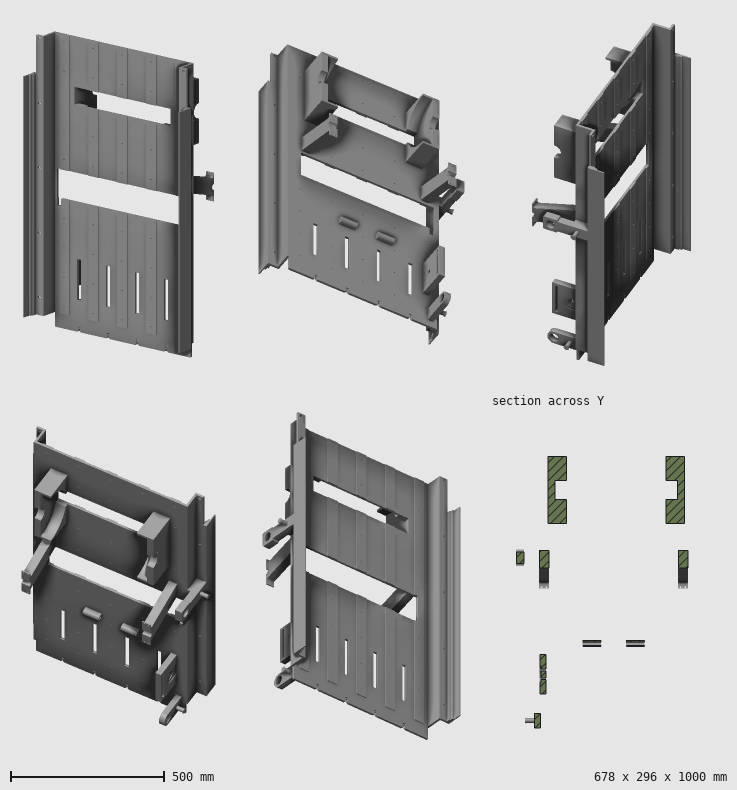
import cadquery as cq
import math

HEIGHT = 1000.0
SHEET = 8.0
PANEL_HALF_WIDTH = 280.0
WEB_OUTER = PANEL_HALF_WIDTH + SHEET
SIDE_BOTTOM = 50.0
FLANGE_BACK = -60.0
FLANGE_FRONT = FLANGE_BACK - SHEET
FLANGE_EDGE = 312.0
MARGIN = 10.0

RAIL_SPAN = 649.0
RAIL_OUTER = RAIL_SPAN / 2
RAIL_TOP = 869.0
RAIL_STEPS = ((14.0, -82.0), (10.0, -92.0), (4.0, -120.0))

STRIP_PITCH = 120.0
STRIP_COUNT = 5
STRIP_WIDTH = 40.0
STRIP_THICKNESS = 3.0
STRIP_FRONT = -SHEET - STRIP_THICKNESS
STRIP_HOLE_DIAMETER = 5.0
STRIP_HOLE_FIRST = 75.0
STRIP_HOLE_PITCH = 100.0
STRIP_HOLE_ROWS = (0, 1, 2, 3, 5, 6, 8, 9)

FLANGE_HOLE_X = 299.0
FLANGE_HOLE_FIRST = 110.0
FLANGE_HOLE_PITCH = 220.0
FLANGE_HOLE_COUNT = 5
FLANGE_HOLE_DIAMETER = 8.0
FLANGE_SLOT_LENGTH = 11.0

WINDOW_HALF_WIDTH = 199.0
WINDOW_BOTTOM = 770.0
WINDOW_TOP = 830.0
PASSAGE_LEFT = -272.0
PASSAGE_RIGHT = 236.0
PASSAGE_BOTTOM = 440.0
PASSAGE_TOP = 540.0
PASSAGE_NOTCH_WIDTH = 17.0
PASSAGE_NOTCH_LEFT = -270.0
PASSAGE_NOTCH_BOTTOM = 414.0
SLOT_WIDTH = 16.0
SLOT_BOTTOM = 107.0
SLOT_TOP = 247.0

EDGE_HOLE_WIDTH = 10.0
EDGE_HOLE_HEIGHT = 4.0
EDGE_HOLE_Z = 17.0
EDGE_SLIT_WIDTH = 5.0
EDGE_SLIT_TOP = 11.0
EDGE_MOUTH_WIDTH = 16.0
EDGE_MOUTH_TOP = 5.0

BLOCK_INNER = 161.0
BLOCK_OUTER = 223.0
BLOCK_DEPTH = 110.0
BLOCK_BOTTOM = 690.0
BLOCK_HEIGHT = 220.0
BLOCK_WALL = 24.0
BLOCK_HOLLOW_RADIUS = 102.0
BLOCK_NOTCH_RADIUS = 26.0
BLOCK_HOLE_DIAMETER = 5.0

MECHANISM_X = -8.0
ARM_OFFSET = 226.0
ARM_WIDTH = 31.0
ARM_ROOT_BOTTOM = 550.0
ARM_ROOT_TOP = 608.0
ARM_SLOPE = 16.5
ARM_END = 176.0
ARM_FILLET = 6.0
ARM_PLATE_THICKNESS = 4.0
ARM_PLATE_BOTTOM = 479.0
ARM_PLATE_TOP = 576.0
ARM_NOTCH_RADIUS = 10.0
ARM_HOLE_SPACING = 16.0
ARM_HOLE_DIAMETER = 5.0
ARM_HOLE_RISE = 5.0

BARREL_OFFSET = 71.0
BARREL_LENGTH = 60.0
BARREL_RADIUS = 11.0
BARREL_BORE = 10.0
BARREL_Z = 301.0

EYE_DIAMETER = 32.0
PIN_DIAMETER = 15.0
PIN_COLLAR_DIAMETER = 20.0
PIN_COLLAR_THICKNESS = 1.0
PIN_TIP = 1.0
PIN_REACH = 29.0
UPPER_LUG_Z = 580.0
UPPER_LUG_THICKNESS = 26.0
UPPER_LUG_NECK = 40.0
UPPER_LUG_HEAD = 52.0
UPPER_LUG_END = 100.0
UPPER_LUG_CORNER = 5.0
UPPER_EYE_Y = 74.0
UPPER_PIN_Y = -23.0
LOWER_LUG_X = -266.0
LOWER_LUG_THICKNESS = 21.0
LOWER_LUG_Z = 50.0
LOWER_LUG_RADIUS = 24.0
LOWER_EYE_Y = 89.0
LOWER_PIN_Y = 31.0

TAB_X = -248.0
TAB_THICKNESS = 21.0
TAB_DEPTH = 104.0
TAB_BOTTOM = 136.0
TAB_TOP = 266.0
TAB_SLOT_WIDTH = 10.0
TAB_SLOT_LENGTH = 110.0
TAB_SLOT_Y = 89.0
HOUSING_Y = 38.0
HOUSING_RADIUS = 26.0
HOUSING_DEPTH = 3.0
BEARING_STEPS = ((32.0, 6.0), (24.0, 9.0))
BEARING_BORE = 15.0
HOUSING_SCREW_DIAMETER = 5.0
HOUSING_SCREW_Y = 10.0
HOUSING_SCREW_SPACING = 29.0


def box(x0, x1, y0, y1, z0, z1):
    """Block between two corners."""
    return cq.Workplane("XY").box(x1 - x0, y1 - y0, z1 - z0, centered=False).translate((x0, y0, z0))


def rod_x(x0, x1, y, z, diameter):
    """Round bar along X."""
    return cq.Workplane("YZ", origin=(x0, y, z)).circle(diameter / 2).extrude(x1 - x0)


def rod_y(x, y0, y1, z, diameter):
    """Round bar along Y."""
    return cq.Workplane("XZ", origin=(x, y0, z)).circle(diameter / 2).extrude(y0 - y1)


def rounded_tongue(x0, x1, y, z, radius):
    """Plate normal to X, running from the panel back to a round end centred at (y, z)."""
    return box(x0, x1, 0, y, z - radius, z + radius).union(rod_x(x0, x1, y, z, 2 * radius))


def collared_pin(face_x, y, z):
    """Pin pointing to -X from a lug face, with a thin collar close to its end."""
    end_x = face_x - PIN_REACH
    collar_x = end_x + PIN_TIP
    shaft = rod_x(end_x, face_x, y, z, PIN_DIAMETER)
    return shaft.union(rod_x(collar_x, collar_x + PIN_COLLAR_THICKNESS, y, z, PIN_COLLAR_DIAMETER))


strip_centres = [(i - (STRIP_COUNT - 1) / 2) * STRIP_PITCH for i in range(STRIP_COUNT)]
slot_centres = [x + STRIP_PITCH / 2 for x in strip_centres[:-1]]


def rail():
    """Right-hand edge rail; each step toward the front is thinner."""
    bar = None
    for thickness, front in RAIL_STEPS:
        step = box(RAIL_OUTER - thickness, RAIL_OUTER, front, FLANGE_BACK, SIDE_BOTTOM, RAIL_TOP)
        bar = step if bar is None else bar.union(step)
    return bar


def side():
    """Right-hand web, flange and edge rail."""
    web = box(PANEL_HALF_WIDTH, WEB_OUTER, FLANGE_FRONT, 0, SIDE_BOTTOM, HEIGHT)
    flange = box(PANEL_HALF_WIDTH, FLANGE_EDGE, FLANGE_FRONT, FLANGE_BACK, SIDE_BOTTOM, HEIGHT)
    return web.union(flange).union(rail())


def panel():
    body = box(-PANEL_HALF_WIDTH, PANEL_HALF_WIDTH, -SHEET, 0, 0, HEIGHT)
    body = body.union(side()).union(side().mirror("YZ"))
    for x in strip_centres:
        half = STRIP_WIDTH / 2
        body = body.union(box(x - half, x + half, STRIP_FRONT, -SHEET, SIDE_BOTTOM, HEIGHT))
    return body


def guide_block():
    """Right-hand block, hollowed half-round from the inner side, with a notched outer wall."""
    z = BLOCK_BOTTOM + BLOCK_HEIGHT / 2
    block = box(BLOCK_INNER, BLOCK_OUTER, 0, BLOCK_DEPTH, BLOCK_BOTTOM, BLOCK_BOTTOM + BLOCK_HEIGHT)
    wall_x = BLOCK_OUTER - BLOCK_WALL
    block = block.cut(rod_x(BLOCK_INNER, wall_x, BLOCK_DEPTH, z, 2 * BLOCK_HOLLOW_RADIUS))
    block = block.cut(rod_x(wall_x, BLOCK_OUTER, BLOCK_DEPTH, z, 2 * BLOCK_NOTCH_RADIUS))
    for side_sign in (-1, 1):
        hole = rod_x(wall_x, BLOCK_OUTER, BLOCK_DEPTH - BLOCK_NOTCH_RADIUS,
                     z + side_sign * BLOCK_NOTCH_RADIUS, BLOCK_HOLE_DIAMETER)
        block = block.cut(hole)
    return block


def support_arm(x):
    """Arm sloping down to an end plate with a half-round notch and two pairs of holes."""
    x0 = x - ARM_WIDTH / 2
    x1 = x + ARM_WIDTH / 2
    drop = ARM_END * math.tan(math.radians(ARM_SLOPE))
    end_bottom = ARM_ROOT_BOTTOM - drop
    end_top = ARM_ROOT_TOP - drop
    outline = [(0, ARM_ROOT_BOTTOM), (0, ARM_ROOT_TOP), (ARM_END, end_top), (ARM_END, end_bottom)]
    arm = cq.Workplane("YZ", origin=(x0, 0, 0)).polyline(outline).close().extrude(ARM_WIDTH)
    arm = arm.union(box(x0, x1, ARM_END - ARM_PLATE_THICKNESS, ARM_END, ARM_PLATE_BOTTOM, ARM_PLATE_TOP))
    plate_face = ARM_END - ARM_PLATE_THICKNESS
    corners = cq.selectors.BoxSelector((x0, plate_face - ARM_FILLET / 2, end_bottom - ARM_FILLET),
                                       (x1, plate_face + ARM_FILLET / 2, end_top + ARM_FILLET))
    arm = arm.edges("|X").edges(corners).fillet(ARM_FILLET)
    notch_z = (ARM_PLATE_BOTTOM + ARM_PLATE_TOP) / 2
    arm = arm.cut(rod_x(x0, x1, ARM_END, notch_z, 2 * ARM_NOTCH_RADIUS))
    for hole_x in (x - ARM_HOLE_SPACING / 2, x + ARM_HOLE_SPACING / 2):
        for hole_z in (ARM_PLATE_BOTTOM + ARM_HOLE_RISE, ARM_PLATE_TOP - ARM_HOLE_RISE):
            arm = arm.cut(rod_y(hole_x, ARM_END - MARGIN, ARM_END, hole_z, ARM_HOLE_DIAMETER))
    return arm


def hinge_barrel(x):
    x0 = x - BARREL_LENGTH / 2
    x1 = x + BARREL_LENGTH / 2
    barrel = rounded_tongue(x0, x1, BARREL_RADIUS, BARREL_Z, BARREL_RADIUS)
    return barrel.cut(rod_x(x0, x1, BARREL_RADIUS, BARREL_Z, BARREL_BORE))


def upper_lug():
    """Lug flush with the left rail, with a square eye end."""
    x0 = -RAIL_OUTER
    x1 = x0 + UPPER_LUG_THICKNESS
    neck_z0 = UPPER_LUG_Z - UPPER_LUG_NECK / 2
    neck_z1 = UPPER_LUG_Z + UPPER_LUG_NECK / 2
    head_z0 = UPPER_LUG_Z - UPPER_LUG_HEAD / 2
    head_z1 = UPPER_LUG_Z + UPPER_LUG_HEAD / 2
    head_root = 2 * UPPER_EYE_Y - UPPER_LUG_END
    head = box(x0, x1, head_root, UPPER_LUG_END, head_z0, head_z1)
    head = head.edges("|X").fillet(UPPER_LUG_CORNER)
    neck = box(x0, x1, FLANGE_BACK, UPPER_EYE_Y, neck_z0, neck_z1)
    foot = box(x0, -WEB_OUTER, FLANGE_BACK, 0, neck_z0, neck_z1)
    lug = neck.union(head).union(foot)
    lug = lug.cut(rod_x(x0, x1, UPPER_EYE_Y, UPPER_LUG_Z, EYE_DIAMETER))
    return lug.union(collared_pin(x0, UPPER_PIN_Y, UPPER_LUG_Z))


def lower_lug():
    x1 = LOWER_LUG_X + LOWER_LUG_THICKNESS
    lug = rounded_tongue(LOWER_LUG_X, x1, LOWER_EYE_Y, LOWER_LUG_Z, LOWER_LUG_RADIUS)
    lug = lug.cut(rod_x(LOWER_LUG_X, x1, LOWER_EYE_Y, LOWER_LUG_Z, EYE_DIAMETER))
    return lug.union(collared_pin(LOWER_LUG_X, LOWER_PIN_Y, LOWER_LUG_Z))


def adjusting_tab():
    """Tab with a long slot and a stepped bearing seat sunk into its left face."""
    x1 = TAB_X + TAB_THICKNESS
    middle = (TAB_BOTTOM + TAB_TOP) / 2
    tab = box(TAB_X, x1, 0, TAB_DEPTH, TAB_BOTTOM, TAB_TOP)
    slot = (cq.Workplane("YZ", origin=(TAB_X, TAB_SLOT_Y, middle))
            .slot2D(TAB_SLOT_LENGTH, TAB_SLOT_WIDTH, 90).extrude(TAB_THICKNESS))
    tab = tab.cut(slot)
    tab = tab.cut(rounded_tongue(TAB_X, TAB_X + HOUSING_DEPTH, HOUSING_Y, middle, HOUSING_RADIUS))
    for diameter, depth in BEARING_STEPS:
        tab = tab.cut(rod_x(TAB_X, TAB_X + depth, HOUSING_Y, middle, diameter))
    tab = tab.cut(rod_x(TAB_X, x1, HOUSING_Y, middle, BEARING_BORE))
    for z in (middle - HOUSING_SCREW_SPACING / 2, middle + HOUSING_SCREW_SPACING / 2):
        tab = tab.cut(rod_x(TAB_X, x1, HOUSING_SCREW_Y, z, HOUSING_SCREW_DIAMETER))
    return tab


def through(x0, x1, z0, z1, y_back=MARGIN):
    """Cutter for a rectangular opening in the panel."""
    return box(x0, x1, STRIP_FRONT - MARGIN, y_back, z0, z1)


def edge_slit(x):
    """Cutter for a narrow slit with a flared mouth at the lower edge."""
    slit = through(x - EDGE_SLIT_WIDTH / 2, x + EDGE_SLIT_WIDTH / 2, 0, EDGE_SLIT_TOP)
    mouth = (cq.Workplane("XZ", origin=(x, 0, 0))
             .polyline([(-EDGE_MOUTH_WIDTH / 2, 0), (EDGE_MOUTH_WIDTH / 2, 0), (0, EDGE_MOUTH_TOP)])
             .close().extrude(SHEET))
    return slit.union(mouth)


def openings():
    cutters = [
        through(PASSAGE_LEFT, PASSAGE_RIGHT, PASSAGE_BOTTOM, PASSAGE_TOP, 0),
        through(PASSAGE_NOTCH_LEFT, PASSAGE_NOTCH_LEFT + PASSAGE_NOTCH_WIDTH,
                PASSAGE_NOTCH_BOTTOM, PASSAGE_BOTTOM, 0),
        through(-WINDOW_HALF_WIDTH, WINDOW_HALF_WIDTH, WINDOW_BOTTOM, WINDOW_TOP, BLOCK_DEPTH),
    ]
    for x in slot_centres:
        cutters.append(through(x - SLOT_WIDTH / 2, x + SLOT_WIDTH / 2, SLOT_BOTTOM, SLOT_TOP))
        cutters.append(edge_slit(x))
        cutters.append(through(x - EDGE_HOLE_WIDTH / 2, x + EDGE_HOLE_WIDTH / 2,
                               EDGE_HOLE_Z - EDGE_HOLE_HEIGHT / 2, EDGE_HOLE_Z + EDGE_HOLE_HEIGHT / 2))
    return cutters


def strip_holes():
    heights = [STRIP_HOLE_FIRST + row * STRIP_HOLE_PITCH for row in STRIP_HOLE_ROWS]
    spots = [(x, z) for x in strip_centres for z in heights]
    return [rod_y(x, STRIP_FRONT, 0, z, STRIP_HOLE_DIAMETER) for x, z in spots]


def flange_holes():
    holes = []
    for i in range(FLANGE_HOLE_COUNT):
        z = FLANGE_HOLE_FIRST + i * FLANGE_HOLE_PITCH
        holes.append(rod_y(FLANGE_HOLE_X, FLANGE_FRONT, FLANGE_BACK, z, FLANGE_HOLE_DIAMETER))
        holes.append(cq.Workplane("XZ", origin=(-FLANGE_HOLE_X, FLANGE_FRONT, z))
                     .slot2D(FLANGE_SLOT_LENGTH, FLANGE_HOLE_DIAMETER).extrude(-SHEET))
    return holes


result = panel()
for block in (guide_block(), guide_block().mirror("YZ")):
    result = result.union(block)
for cutter in openings() + strip_holes() + flange_holes():
    result = result.cut(cutter)
for offset_sign in (-1, 1):
    result = result.union(support_arm(MECHANISM_X + offset_sign * ARM_OFFSET))
    result = result.union(hinge_barrel(MECHANISM_X + offset_sign * BARREL_OFFSET))
result = result.union(upper_lug()).union(lower_lug()).union(adjusting_tab())